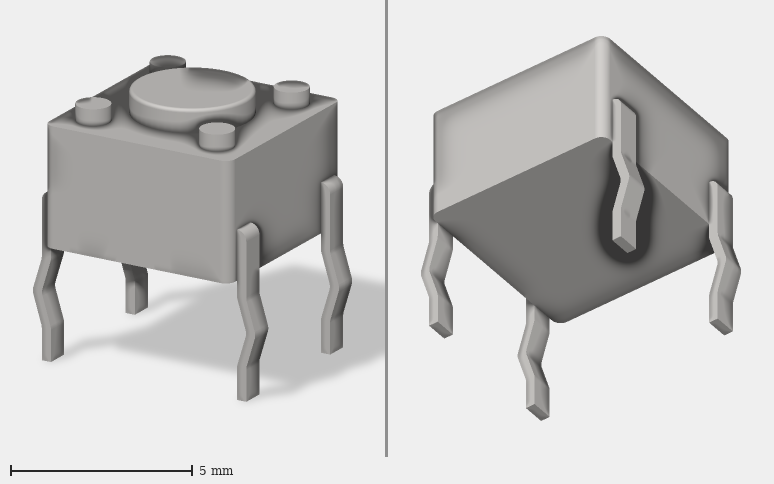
import cadquery as cq
import math

housing_width = 6.0
housing_corner_radius = 0.3
housing_bottom = 3.5
cap_thickness = 0.1
housing_top = 7.1
cap_bottom = housing_top - cap_thickness

button_diameter = 3.5
button_top = 7.8
button_edge_radius = 0.1

stud_diameter = 1.0
stud_top = 7.6
stud_offset = 2.0

leg_thickness = 0.3
leg_width = 0.7
leg_offset = 2.25
leg_top = 5.0
leg_bend_pitch = 1.0
leg_kick = 0.305
leg_bend_radius = 0.35

sides = (-1, 1)


def make_rounded_block(bottom, top):
    """Square block with rounded vertical edges, centred on the Z axis."""
    return (
        cq.Workplane("XY", origin=(0, 0, bottom))
        .rect(housing_width, housing_width)
        .extrude(top - bottom)
        .edges("|Z")
        .fillet(housing_corner_radius)
    )


def make_housing():
    """Block and cap as one solid; clean=False keeps the seam line between them."""
    block = make_rounded_block(housing_bottom, cap_bottom)
    cap = make_rounded_block(cap_bottom, housing_top)
    return block.union(cap, clean=False)


def make_cylinder_on_housing(x, y, diameter, top):
    """Upright cylinder from the housing top up to the given height."""
    return (
        cq.Workplane("XY", origin=(x, y, housing_top))
        .circle(diameter / 2)
        .extrude(top - housing_top)
    )


def make_button():
    button = make_cylinder_on_housing(0, 0, button_diameter, button_top)
    return button.faces(">Z").edges().fillet(button_edge_radius)


def make_stud(side_x, side_y):
    return make_cylinder_on_housing(
        side_x * stud_offset, side_y * stud_offset, stud_diameter, stud_top
    )


def make_leg(side_x, side_y):
    """Bent strip with a quarter-round top; shaped for the +X wall, mirrored for the -X wall."""
    inner = housing_width / 2
    outer = inner + leg_thickness
    lower_bend = leg_bend_pitch
    knee = 2 * leg_bend_pitch
    upper_bend = 3 * leg_bend_pitch

    round_start = leg_top - leg_thickness
    round_reach = leg_thickness * math.sqrt(0.5)

    y_centre = side_y * leg_offset
    leg = (
        cq.Workplane("XZ", origin=(0, y_centre + leg_width / 2, 0))
        .moveTo(inner, 0)
        .lineTo(outer, 0)
        .lineTo(outer, lower_bend)
        .lineTo(outer + leg_kick, knee)
        .lineTo(outer, upper_bend)
        .lineTo(outer, round_start)
        .threePointArc((inner + round_reach, round_start + round_reach), (inner, leg_top))
        .lineTo(inner, upper_bend)
        .lineTo(inner + leg_kick, knee)
        .lineTo(inner, lower_bend)
        .close()
        .extrude(leg_width)
    )

    bend_margin = leg_bend_pitch / 2
    bend_zone = cq.selectors.BoxSelector(
        (0, y_centre - leg_width, lower_bend - bend_margin),
        (housing_width, y_centre + leg_width, upper_bend + bend_margin),
    )
    leg = leg.edges("|Y").edges(bend_zone).fillet(leg_bend_radius)

    if side_x < 0:
        leg = leg.mirror("YZ")
    return leg


housing = make_housing()
button = make_button()
studs = [make_stud(side_x, side_y) for side_x in sides for side_y in sides]
legs = [make_leg(side_x, side_y) for side_x in sides for side_y in sides]

result = cq.Compound.makeCompound(
    [
        housing.solids().val(),
        button.solids().val(),
        *[stud.solids().val() for stud in studs],
        *[leg.solids().val() for leg in legs],
    ]
)